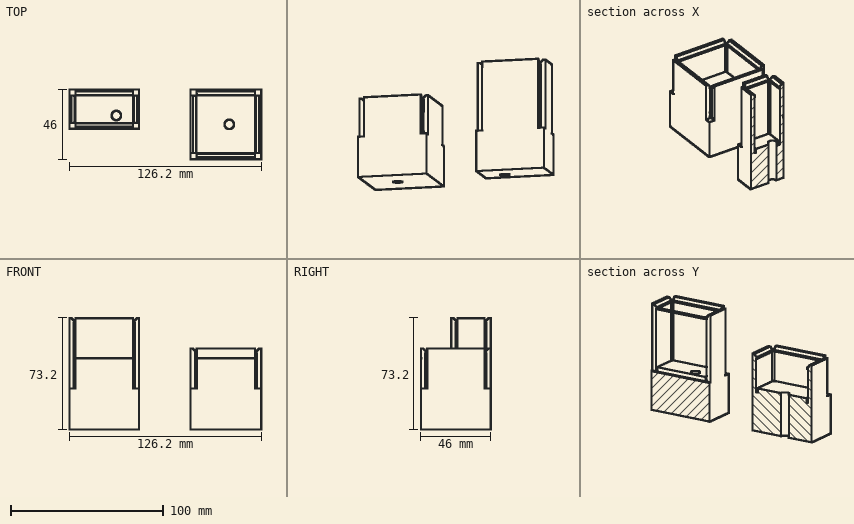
import cadquery as cq

OVERALL_LENGTH = 126.2
TALL_LENGTH = 46.0
TALL_DEPTH = 26.0
TALL_HEIGHT = 73.2
WIDE_LENGTH = 46.6
WIDE_DEPTH = 46.0
WIDE_HEIGHT = 53.3

BASE_HEIGHT = 27.0
FLOOR_RISE = 3.0
FLOOR_HEIGHT = BASE_HEIGHT + FLOOR_RISE
HOLE_DIAMETER = 6.0
TALL_HOLE = (30.9, 8.8)
WIDE_HOLE = (25.5, WIDE_DEPTH / 2)

CORNER_NOTCH = 4.0
WALL_THICKNESS = 3.0
LIP_OVERHANG = 0.5
LIP_SLOPE = 2.0
LIP_THICKNESS = 1.0

GROOVE_HEIGHT = 47.0
GROOVE_SIZE = 0.4


def make_wall(width, height):
    """Upright wall centred on X = 0, outer face on Y = 0, lip pointing to +Y."""
    tip = WALL_THICKNESS + LIP_OVERHANG
    lip_top = height - LIP_SLOPE
    lip_bottom = lip_top - LIP_THICKNESS
    profile = [
        (0, BASE_HEIGHT),
        (WALL_THICKNESS, BASE_HEIGHT),
        (WALL_THICKNESS, lip_bottom),
        (tip, lip_bottom),
        (tip, lip_top),
        (tip - LIP_SLOPE, height),
        (0, height),
    ]
    return cq.Workplane("YZ").polyline(profile).close().extrude(width / 2, both=True)


def make_box(length, depth, height, hole):
    """Base block, raised floor and four lipped walls, with the front left corner at the origin."""
    inner_length = length - 2 * CORNER_NOTCH
    inner_depth = depth - 2 * CORNER_NOTCH

    box = cq.Workplane("XY").box(length, depth, BASE_HEIGHT, centered=False)
    floor = cq.Workplane("XY").box(inner_length, inner_depth, FLOOR_HEIGHT, centered=False)
    box = box.union(floor.translate((CORNER_NOTCH, CORNER_NOTCH, 0)))

    walls = [
        (0, inner_length, (length / 2, 0, 0)),
        (90, inner_depth, (length, depth / 2, 0)),
        (180, inner_length, (length / 2, depth, 0)),
        (270, inner_depth, (0, depth / 2, 0)),
    ]
    for angle, width, place in walls:
        wall = make_wall(width, height)
        box = box.union(wall.rotate((0, 0, 0), (0, 0, 1), angle).translate(place))

    groove = cq.Workplane("XY").box(length, GROOVE_SIZE, GROOVE_SIZE, centered=(False, False, True))
    box = box.cut(groove.translate((0, 0, GROOVE_HEIGHT)))

    drill = cq.Workplane("XY").center(*hole).circle(HOLE_DIAMETER / 2).extrude(FLOOR_HEIGHT)
    return box.cut(drill)


tall_box = make_box(TALL_LENGTH, TALL_DEPTH, TALL_HEIGHT, TALL_HOLE)
tall_box = tall_box.translate((0, -TALL_DEPTH, 0))

wide_box = make_box(WIDE_LENGTH, WIDE_DEPTH, WIDE_HEIGHT, WIDE_HOLE)
wide_box = wide_box.translate((OVERALL_LENGTH - WIDE_LENGTH, -WIDE_DEPTH, 0))

result = cq.Compound.makeCompound([tall_box.val(), wide_box.val()])